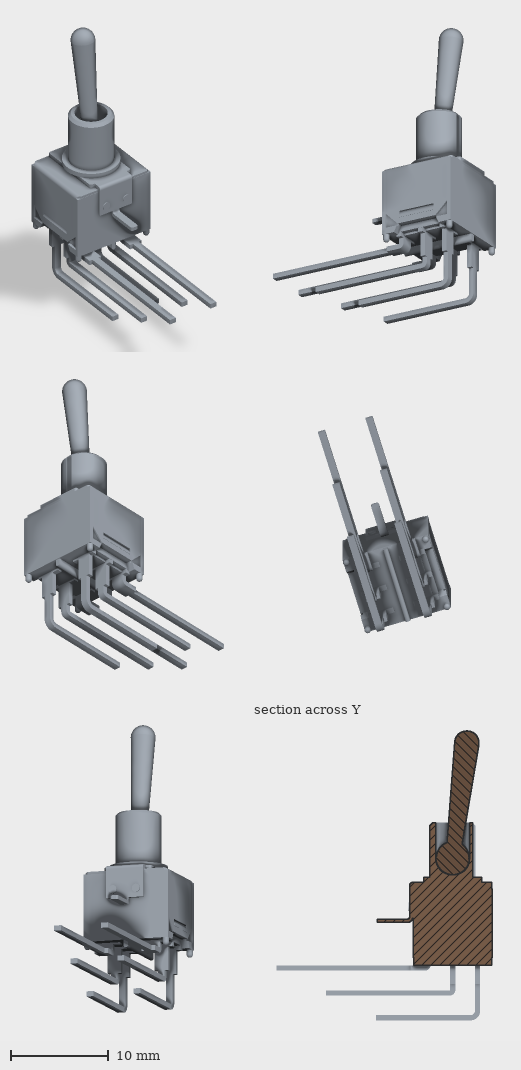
import cadquery as cq
import math


BODY_X = 8.14
BODY_Y = 9.14
BASE_TOP = 7.0
SHEET = 0.27
COVER_SETBACK = 0.03
COVER_X = BODY_X - 2 * COVER_SETBACK
COVER_Y = BODY_Y - 2 * COVER_SETBACK
COVER_TOP = BASE_TOP + SHEET
COVER_BEND = 0.4
COVER_HALF_X = 3.67
COVER_CORNER_Z = 2.25
COVER_BOTTOM = 0.87
COVER_BOTTOM_HALF_X = 2.23
RECESS_BOTTOM = 0.69
MOUTH_HALF_X = 2.65
MOUTH_INNER_Y = 3.78
NOTCH_TOP = 0.24
NOTCH_INNER_Y = 3.2

WINDOW_X = 4.11
WINDOW_TOP = 2.22
WINDOW_BOTTOM = 1.51
RAMP_BOTTOM = 1.79

PLATE = 0.46
PLATE_TOP = COVER_TOP + PLATE
PLATE_HALF_Y = 2.54
PLATE_RIGHT = 3.46
PLATE_LEFT = -4.0
PLATE_CORNER = 0.25
LEG = 0.36
LEG_HALF_Y = 2.0
LEG_OUTER_X = BODY_X / 2 + LEG
LEG_BOTTOM = 4.3
TAB_Y = 0.83
TAB_BOTTOM = 3.57
TAB_THICKNESS = 0.4
TAB_END = 7.75
TAB_CORNER = 0.2
TAB_BEND = 0.2
DIMPLE_D = 0.85
DIMPLE_Y = 1.25
DIMPLE_Z = 5.22
DIMPLE_HEIGHT = 0.1

BUSHING_D = 4.74
BUSHING_TOP = 13.8
BUSHING_CHAMFER = 0.3
FLANGE_D = 6.0
FLANGE_TOP = PLATE_TOP + 0.53
KEYWAY_Y = 0.8
KEYWAY_DEPTH = 0.3

BALL_D = 3.4
PIVOT_Z = 10.2
TILT = 7.0
TIP_R = 1.27
OVERALL_Z = 29.63
NECK_R = 0.73

PIN_D = 0.65
STANDOFF = 0.8
RIB_X = 8.0
RIB_Y = 0.5
ROUND_END = 0.98

LEAD = 0.54
LEAD_WIDE_Y = 1.45
LEAD_NARROW_Y = 0.74
SHOULDER_Y = 2.7
SHOULDER_BOTTOM = -0.22
SHOULDER_OFFSET = 0.13
LEAD_PITCH = 2.54
LEAD_BOTTOM = -6.42
LEAD_TOP = 1.0
LEAD_STEP = 2 * LEAD_PITCH
OVERALL_X = 22.1
LONGEST_LEAD_END = OVERALL_X - BODY_X / 2
WIDE_END_X = 4.32
WIDE_END_Z = -2.7
SHARP_BEND = 0.05
WIDE_BEND = 0.45
BEND_RADII = [WIDE_BEND, SHARP_BEND, SHARP_BEND]


def box(x0, x1, y0, y1, z0, z1):
    """Box between the given limits."""
    return cq.Workplane("XY").box(x1 - x0, y1 - y0, z1 - z0, centered=False).translate((x0, y0, z0))


def both_sides(shape):
    """The shape together with its mirror image across the XZ plane."""
    return shape.union(shape.mirror("XZ"))


def side_panel(points, y_inner, y_outer):
    """Prism on the -Y side with an XZ outline, between two distances from the XZ plane."""
    profile = cq.Workplane("XZ").workplane(offset=y_inner).polyline(points).close()
    return profile.extrude(y_outer - y_inner)


def make_base():
    """Block with a cover recess, a flared mouth and a bottom notch in each Y side."""
    half_x, half_y = BODY_X / 2, BODY_Y / 2
    base = box(-half_x, half_x, -half_y, half_y, 0, BASE_TOP)
    recess = box(-COVER_HALF_X, COVER_HALF_X, -half_y, SHEET - half_y, RECESS_BOTTOM, BASE_TOP)
    mouth_points = [
        (-COVER_BOTTOM_HALF_X, COVER_BOTTOM),
        (COVER_BOTTOM_HALF_X, COVER_BOTTOM),
        (MOUTH_HALF_X, 0),
        (-MOUTH_HALF_X, 0),
    ]
    mouth = side_panel(mouth_points, MOUTH_INNER_Y, half_y)
    flare = (MOUTH_HALF_X - COVER_BOTTOM_HALF_X) / COVER_BOTTOM
    notch_half_x = MOUTH_HALF_X - flare * NOTCH_TOP
    notch_points = [
        (-notch_half_x, NOTCH_TOP),
        (notch_half_x, NOTCH_TOP),
        (MOUTH_HALF_X, 0),
        (-MOUTH_HALF_X, 0),
    ]
    notch = side_panel(notch_points, NOTCH_INNER_Y, half_y)
    return base.cut(both_sides(recess.union(mouth).union(notch)))


def make_cover():
    """Sheet folded over the block, with cut corners and a snap window in each side."""
    half_x, half_y = COVER_X / 2, COVER_Y / 2
    top = box(-half_x, half_x, -half_y, half_y, BASE_TOP, COVER_TOP)
    side_points = [
        (-COVER_HALF_X, BASE_TOP),
        (COVER_HALF_X, BASE_TOP),
        (COVER_HALF_X, COVER_CORNER_Z),
        (COVER_BOTTOM_HALF_X, COVER_BOTTOM),
        (-COVER_BOTTOM_HALF_X, COVER_BOTTOM),
        (-COVER_HALF_X, COVER_CORNER_Z),
    ]
    sides = both_sides(side_panel(side_points, BODY_Y / 2 - SHEET, half_y))

    envelope = box(-half_x, half_x, -half_y, half_y, 0, COVER_TOP)
    envelope = envelope.edges("|X and >Z").fillet(COVER_BEND)
    cover = top.union(sides).intersect(envelope)

    mitre_x, mitre_y = half_x - COVER_HALF_X, COVER_BEND
    for x_sign in (-1, 1):
        for y_sign in (-1, 1):
            corner_x, corner_y = x_sign * half_x, y_sign * half_y
            mitre = (
                cq.Workplane("XY")
                .workplane(offset=BASE_TOP)
                .moveTo(corner_x, corner_y)
                .lineTo(corner_x - x_sign * mitre_x, corner_y)
                .lineTo(corner_x, corner_y - y_sign * mitre_y)
                .close()
                .extrude(SHEET)
            )
            cover = cover.cut(mitre)

    window = box(-WINDOW_X / 2, WINDOW_X / 2, -half_y, SHEET - BODY_Y / 2, WINDOW_BOTTOM, WINDOW_TOP)
    return cover.cut(both_sides(window))


def make_snaps():
    """Ramped catch of the block filling each cover window, flush with the block faces."""
    outer, inner = -BODY_Y / 2, SHEET - BODY_Y / 2
    points = [(inner, WINDOW_TOP), (outer, RAMP_BOTTOM), (outer, WINDOW_BOTTOM), (inner, WINDOW_BOTTOM)]
    snap = cq.Workplane("YZ").polyline(points).close().extrude(WINDOW_X / 2, both=True)
    return both_sides(snap)


def make_bracket():
    """Plate on the cover, bent down the +X side and out again as a narrow tab."""
    half_x = BODY_X / 2
    plate = box(PLATE_LEFT, PLATE_RIGHT, -PLATE_HALF_Y, PLATE_HALF_Y, COVER_TOP, PLATE_TOP)
    plate = plate.edges("|Z").fillet(PLATE_CORNER)

    arm = box(0, LEG_OUTER_X, -LEG_HALF_Y, LEG_HALF_Y, COVER_TOP, PLATE_TOP)
    leg = box(half_x, LEG_OUTER_X, -LEG_HALF_Y, LEG_HALF_Y, LEG_BOTTOM, PLATE_TOP)
    bend = arm.union(leg).edges("|Y and >X and >Z").fillet(LEG)

    tab_top = TAB_BOTTOM + TAB_THICKNESS
    outer_bend = TAB_BEND + LEG
    tab = (
        cq.Workplane("XZ")
        .moveTo(half_x, LEG_BOTTOM)
        .lineTo(half_x, TAB_BOTTOM + outer_bend)
        .radiusArc((half_x + outer_bend, TAB_BOTTOM), -outer_bend)
        .lineTo(TAB_END, TAB_BOTTOM)
        .lineTo(TAB_END, tab_top)
        .lineTo(LEG_OUTER_X + TAB_BEND, tab_top)
        .radiusArc((LEG_OUTER_X, tab_top + TAB_BEND), TAB_BEND)
        .lineTo(LEG_OUTER_X, LEG_BOTTOM)
        .close()
        .extrude(TAB_Y / 2, both=True)
        .edges("|Z and >X")
        .fillet(TAB_CORNER)
    )
    dimples = (
        cq.Workplane("YZ")
        .workplane(offset=LEG_OUTER_X)
        .pushPoints([(-DIMPLE_Y, DIMPLE_Z), (DIMPLE_Y, DIMPLE_Z)])
        .circle(DIMPLE_D / 2)
        .extrude(DIMPLE_HEIGHT)
    )
    return plate.union(bend).union(tab).union(dimples)


def make_bushing():
    """Flanged barrel with a chamfered rim and a keyway on the -X side."""
    flange = cq.Workplane("XY").workplane(offset=PLATE_TOP).circle(FLANGE_D / 2)
    flange = flange.extrude(FLANGE_TOP - PLATE_TOP)
    barrel = cq.Workplane("XY").workplane(offset=COVER_TOP).circle(BUSHING_D / 2)
    barrel = barrel.extrude(BUSHING_TOP - COVER_TOP).faces(">Z").chamfer(BUSHING_CHAMFER)
    keyway_floor = KEYWAY_DEPTH - BUSHING_D / 2
    keyway = box(-BUSHING_D, keyway_floor, -KEYWAY_Y / 2, KEYWAY_Y / 2, FLANGE_TOP, BUSHING_TOP)
    return flange.union(barrel.cut(keyway))


def make_standoffs():
    """Round-ended corner pins and a central rib under the housing."""
    pin_r = PIN_D / 2
    pin = cq.Workplane("XY").circle(pin_r).extrude(-STANDOFF).faces("<Z").edges().fillet(pin_r * ROUND_END)
    rib = box(-RIB_X / 2, RIB_X / 2, -RIB_Y / 2, RIB_Y / 2, -STANDOFF, 0)
    standoffs = rib.edges("|X and <Z").fillet(RIB_Y / 2 * ROUND_END)
    for x_sign in (-1, 1):
        for y_sign in (-1, 1):
            centre = (x_sign * (BODY_X / 2 - pin_r), y_sign * (BODY_Y / 2 - pin_r), 0)
            standoffs = standoffs.union(pin.translate(centre))
    return standoffs


def make_lead(x, y, bottom, end_x, inner_bend):
    """L-shaped terminal: shouldered root, wide stem, narrow tail running towards +X."""
    left, right = x - LEAD / 2, x + LEAD / 2
    top = bottom + LEAD
    outer_bend = inner_bend + LEAD
    profile = (
        cq.Workplane("XZ")
        .moveTo(left, LEAD_TOP)
        .lineTo(left, bottom + outer_bend)
        .radiusArc((left + outer_bend, bottom), -outer_bend)
        .lineTo(end_x, bottom)
        .lineTo(end_x, top)
        .lineTo(right + inner_bend, top)
        .radiusArc((right, top + inner_bend), inner_bend)
        .lineTo(right, LEAD_TOP)
        .close()
        .extrude(LEAD_WIDE_Y / 2, both=True)
    )
    tail_zone = box(left, end_x, -LEAD_NARROW_Y / 2, LEAD_NARROW_Y / 2, bottom, LEAD_TOP)
    stem_zone = box(left, WIDE_END_X, -LEAD_WIDE_Y / 2, LEAD_WIDE_Y / 2, WIDE_END_Z, LEAD_TOP)
    bar = profile.intersect(tail_zone.union(stem_zone))
    shoulder = box(left, right, -SHOULDER_Y / 2, SHOULDER_Y / 2, SHOULDER_BOTTOM, LEAD_TOP)
    inwards = -math.copysign(SHOULDER_OFFSET, y)
    lead = bar.union(shoulder.translate((0, inwards, 0)))
    return lead.translate((0, y, 0))


def make_leads():
    """Two rows of three leads, nested one pitch apart."""
    leads = []
    for column in range(len(BEND_RADII)):
        x = (column - 1) * LEAD_PITCH
        bottom = LEAD_BOTTOM + column * LEAD_PITCH
        end_x = LONGEST_LEAD_END - (len(BEND_RADII) - 1 - column) * LEAD_STEP
        for y in (-LEAD_PITCH, LEAD_PITCH):
            leads.append(make_lead(x, y, bottom, end_x, BEND_RADII[column]))
    return leads


def make_bore():
    """Bore through the bushing ending in a ball seat at the pivot."""
    bore = cq.Workplane("XY").workplane(offset=PIVOT_Z).circle(BALL_D / 2).extrude(BUSHING_TOP - PIVOT_Z)
    return bore.union(cq.Workplane("XY").sphere(BALL_D / 2).translate((0, 0, PIVOT_Z)))


def make_housing():
    """Housing with cover, bracket, bushing, standoffs and leads as one body."""
    housing = make_base().union(make_cover()).union(make_snaps()).union(make_bracket())
    housing = housing.union(make_bushing()).union(make_standoffs())
    for lead in make_leads():
        housing = housing.union(lead)
    return housing.cut(make_bore())


def make_lever():
    """Pivot ball and tapered handle with a round tip, tilted about the pivot."""
    tip_top = LEAD_BOTTOM + OVERALL_Z
    reach = (tip_top - TIP_R - PIVOT_Z) / math.cos(math.radians(TILT))
    handle = (
        cq.Workplane("XZ")
        .lineTo(NECK_R, 0)
        .lineTo(TIP_R, reach)
        .radiusArc((0, reach + TIP_R), -TIP_R)
        .close()
        .revolve(360, (0, 0, 0), (0, 1, 0))
    )
    handle = handle.rotate((0, 0, 0), (0, 1, 0), -TILT)
    return cq.Workplane("XY").sphere(BALL_D / 2).union(handle).translate((0, 0, PIVOT_Z))


housing = make_housing()
lever = make_lever()
result = cq.Compound.makeCompound([housing.val(), lever.val()])